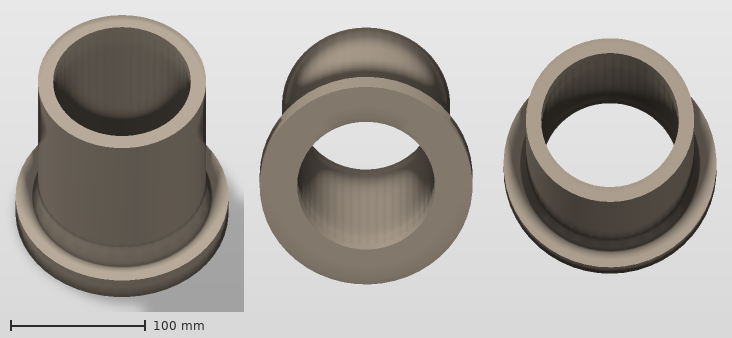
import cadquery as cq

total_height = 159.0
flange_radius = 158.0 / 2
flange_height = 20.0
tube_radius = 125.0 / 2
bore_radius = 102.2 / 2

neck_top_height = 39.0
neck_base_radius = 66.6
neck_fillet_radius = 1.0

half_section = (
    cq.Workplane("XZ")
    .moveTo(bore_radius, 0)
    .lineTo(flange_radius, 0)
    .lineTo(flange_radius, flange_height)
    .lineTo(neck_base_radius, flange_height)
    .lineTo(tube_radius, neck_top_height)
    .lineTo(tube_radius, total_height)
    .lineTo(bore_radius, total_height)
    .close()
)
stub_end = half_section.revolve(360, (0, 0, 0), (0, 1, 0))

neck_foot = cq.selectors.RadiusNthSelector(2)
result = stub_end.edges("%CIRCLE").edges(neck_foot).fillet(neck_fillet_radius)